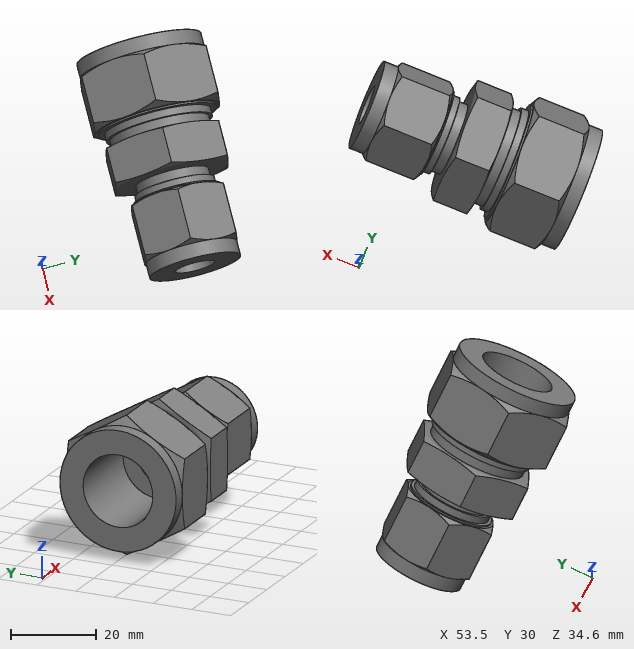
import cadquery as cq
import math

LENGTH = 53.5
COLLAR_LENGTH = 3.4
NUT_LENGTH = 13.95
LIP_LENGTH = 0.45
RING_LENGTH = 1.75

BIG_FLATS = 30.0
BIG_COLLAR_DIAMETER = BIG_FLATS
BIG_LIP_DIAMETER = 28.6
BIG_RING_DIAMETER = 25.55
BIG_NECK_DIAMETER = 23.95

SMALL_FLATS = 22.0
SMALL_COLLAR_DIAMETER = 21.95
SMALL_LIP_DIAMETER = 20.85
SMALL_RING_DIAMETER = 19.2
SMALL_NECK_DIAMETER = 17.55

BODY_FLATS = 27.0
BODY_START = 22.0
BODY_END = 31.55

NUT_CHAMFER_ANGLE = 30.0
BODY_CHAMFER_ANGLE = 15.0

BORE_DIAMETER = 9.5
SOCKET_DIAMETER = 18.0
SOCKET_DEPTH = BODY_START


def cylinder(start, end, diameter):
    """Round bar along X between two stations."""
    return cq.Workplane("YZ", origin=(start, 0, 0)).circle(diameter / 2).extrude(end - start)


def hexagon(start, end, flats, chamfer_angle):
    """Hex bar with flats facing +Y and -Y, its corners coned down to the flats at both ends."""
    corner_radius = flats / math.sqrt(3)
    flat_radius = flats / 2
    chamfer = (corner_radius - flat_radius) * math.tan(math.radians(chamfer_angle))
    prism = (
        cq.Workplane("YZ", origin=(start, 0, 0))
        .transformed(rotate=(0, 0, 90))
        .polygon(6, 2 * corner_radius)
        .extrude(end - start)
    )
    envelope = (
        cq.Workplane("XY")
        .moveTo(start, 0)
        .lineTo(start, flat_radius)
        .lineTo(start + chamfer, corner_radius)
        .lineTo(end - chamfer, corner_radius)
        .lineTo(end, flat_radius)
        .lineTo(end, 0)
        .close()
        .revolve(360, (0, 0, 0), (1, 0, 0))
    )
    return prism.intersect(envelope)


big_nut_start = COLLAR_LENGTH
big_nut_end = big_nut_start + NUT_LENGTH
big_lip_end = big_nut_end + LIP_LENGTH
big_ring_end = big_lip_end + RING_LENGTH

small_nut_end = LENGTH - COLLAR_LENGTH
small_nut_start = small_nut_end - NUT_LENGTH
small_lip_start = small_nut_start - LIP_LENGTH
small_ring_start = small_lip_start - RING_LENGTH

big_end = (
    cylinder(0, big_nut_start, BIG_COLLAR_DIAMETER)
    .union(hexagon(big_nut_start, big_nut_end, BIG_FLATS, NUT_CHAMFER_ANGLE))
    .union(cylinder(big_nut_end, big_lip_end, BIG_LIP_DIAMETER))
    .union(cylinder(big_lip_end, big_ring_end, BIG_RING_DIAMETER))
    .union(cylinder(big_ring_end, BODY_START, BIG_NECK_DIAMETER))
)

body = hexagon(BODY_START, BODY_END, BODY_FLATS, BODY_CHAMFER_ANGLE)

small_end = (
    cylinder(BODY_END, small_ring_start, SMALL_NECK_DIAMETER)
    .union(cylinder(small_ring_start, small_lip_start, SMALL_RING_DIAMETER))
    .union(cylinder(small_lip_start, small_nut_start, SMALL_LIP_DIAMETER))
    .union(hexagon(small_nut_start, small_nut_end, SMALL_FLATS, NUT_CHAMFER_ANGLE))
    .union(cylinder(small_nut_end, LENGTH, SMALL_COLLAR_DIAMETER))
)

bore = cylinder(0, LENGTH, BORE_DIAMETER)
socket = cylinder(0, SOCKET_DEPTH, SOCKET_DIAMETER)

result = big_end.union(body).union(small_end).cut(bore).cut(socket)